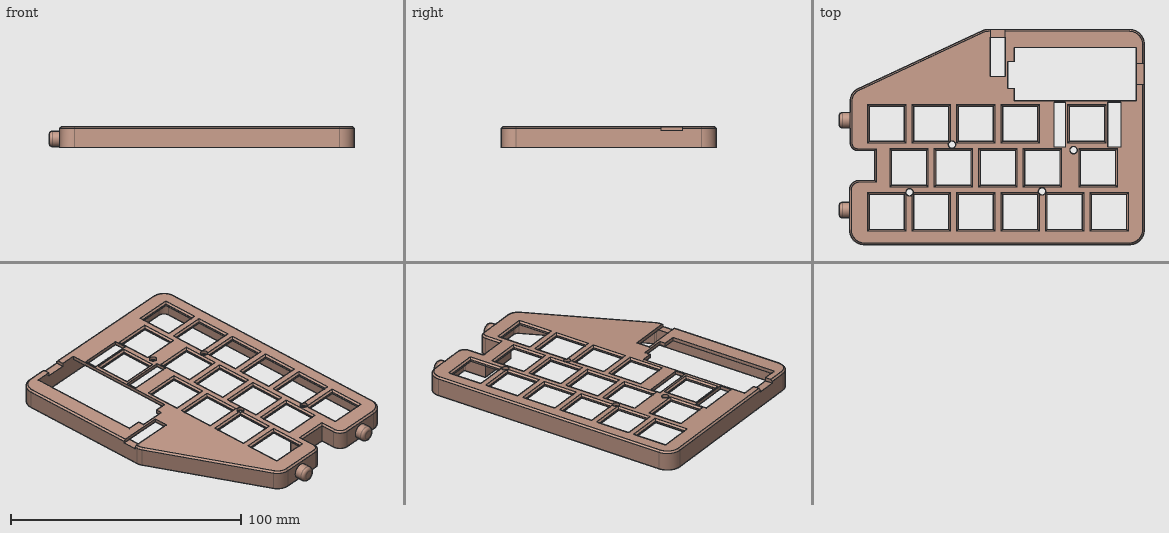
import cadquery as cq
import math

total_height = 9.1
plate_thickness = 1.6
wall_height = total_height - plate_thickness
wall_thickness = 3.6
edge_chamfer = plate_thickness / 2

case_width = 128.04
case_depth = 93.52
upper_left_x = 0.3
slope_start_y = 66.2
slope_angle = 25
notch_floor_x = 10.9
notch_bottom_y = 28.0
notch_top_y = 40.9
corner_radius = 6.5
slope_radius = 6.0
upper_notch_radius = 3.3
lower_notch_radius = 4.2

pin_diameter = 6.8
pin_length = 4.5
pin_tip_radius = 1.5
pin_z = wall_height / 2
pin_ys = (15.1, 54.1)

key_opening = 15.1
key_chamfer = edge_chamfer
key_pitch = 19.3
key_rows = (
    (14.3, 16.2, 6, None),
    (33.5, 25.85, 4, 107.9),
    (52.6, 16.2, 4, 103.1),
)

screw_diameter = 3.1
screw_points = ((26.1, 22.8), (83.6, 23.2), (44.5, 43.5), (97.3, 41.1))

window_left, window_right = 71.6, case_width - wall_thickness
window_bottom, window_top = 62.6, 85.6
window_tab_left = 68.8
window_tab_bottom, window_tab_top = 67.9, 79.5
side_notch_bottom, side_notch_top = 69.5, 78.7
top_slot_left, top_slot_right = 61.2, 67.6
top_slot_bottom = 73.1
key_slot_bottom, key_slot_top = 42.5, 61.8
key_slot_spans = ((88.9, 93.7), (112.2, 117.8))


def outline_prism(height):
    """Solid with the rounded outline of the case."""
    slope_run = (case_depth - slope_start_y) / math.tan(math.radians(slope_angle))
    slope_end_x = upper_left_x + slope_run
    corners = [
        (0, 0, corner_radius),
        (case_width, 0, corner_radius),
        (case_width, case_depth, corner_radius),
        (slope_end_x, case_depth, slope_radius),
        (upper_left_x, slope_start_y, slope_radius),
        (upper_left_x, notch_top_y, upper_notch_radius),
        (notch_floor_x, notch_top_y, 0),
        (notch_floor_x, notch_bottom_y, 0),
        (0, notch_bottom_y, lower_notch_radius),
    ]
    prism = cq.Workplane("XY").polyline([(x, y) for x, y, _ in corners]).close().extrude(height)
    for x, y, radius in corners:
        if radius > 0:
            edge = cq.selectors.NearestToPointSelector((x, y, height / 2))
            prism = prism.edges("|Z").edges(edge).fillet(radius)
    return prism


def make_wall():
    """Perimeter wall of constant thickness."""
    outer = outline_prism(wall_height)
    inner = outer.faces("<Z").wires().toPending().offset2D(-wall_thickness, "intersection")
    return outer.cut(inner.extrude(wall_height, combine=False))


def plate_cutter(left, right, bottom, top):
    """Box that cuts a rectangle through the plate only."""
    box = cq.Workplane("XY").box(right - left, top - bottom, plate_thickness, centered=False)
    return box.translate((left, bottom, wall_height))


def key_centres():
    centres = []
    for y, first_x, count, lone_x in key_rows:
        centres += [(first_x + i * key_pitch, y) for i in range(count)]
        if lone_x is not None:
            centres.append((lone_x, y))
    return centres


def key_cutter():
    """Square opening through the plate with a bevelled upper rim."""
    rim = key_opening + 2 * key_chamfer
    straight = cq.Workplane("XY").workplane(offset=wall_height).rect(key_opening, key_opening)
    bevel = cq.Workplane("XY").workplane(offset=total_height - key_chamfer).rect(key_opening, key_opening)
    bevel = bevel.workplane(offset=key_chamfer).rect(rim, rim).loft(ruled=True)
    return straight.extrude(plate_thickness).union(bevel)


def make_plate():
    """Chamfered top plate with all its openings."""
    plate = outline_prism(plate_thickness).faces(">Z").edges().chamfer(edge_chamfer)
    plate = plate.translate((0, 0, wall_height))
    cutter = key_cutter()
    for x, y in key_centres():
        plate = plate.cut(cutter.translate((x, y, 0)))
    screws = cq.Workplane("XY").workplane(offset=wall_height).pushPoints(screw_points)
    plate = plate.cut(screws.circle(screw_diameter / 2).extrude(plate_thickness))
    rectangles = [
        (window_left, window_right, window_bottom, window_top),
        (window_tab_left, window_left, window_tab_bottom, window_tab_top),
        (window_right, case_width, side_notch_bottom, side_notch_top),
        (top_slot_left, top_slot_right, top_slot_bottom, case_depth),
    ]
    rectangles += [(left, right, key_slot_bottom, key_slot_top) for left, right in key_slot_spans]
    for rectangle in rectangles:
        plate = plate.cut(plate_cutter(*rectangle))
    return plate


def make_pin(y):
    """Round-tipped pin rooted inside the left wall."""
    root_x = wall_thickness / 2
    pin = cq.Workplane("YZ", origin=(-pin_length, 0, 0)).center(y, pin_z)
    pin = pin.circle(pin_diameter / 2).extrude(pin_length + root_x)
    return pin.faces("<X").edges().fillet(pin_tip_radius)


result = make_wall().union(make_plate())
for pin_y in pin_ys:
    result = result.union(make_pin(pin_y))